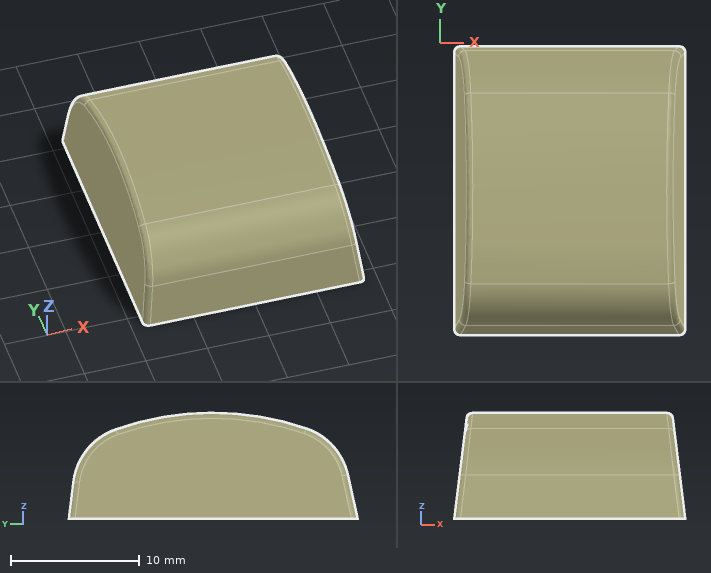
import cadquery as cq
import math

width = 18.0
length = 22.5
height = 8.25

end_draft = 7.0
front_draft = 12.5
back_draft = 7.0

crown_radius = 22.5
crown_center_y = 0.07
shoulder_radius = 5.0
edge_radius = 0.5

crown_center_z = height - crown_radius


def crown_point(base_y, draft, side):
    """Point where a wall leaning inward from base_y meets the crown circle."""
    lean_y = -side * math.sin(math.radians(draft))
    lean_z = math.cos(math.radians(draft))
    offset_y = base_y - crown_center_y
    offset_z = -crown_center_z
    along = offset_y * lean_y + offset_z * lean_z
    offset_squared = offset_y**2 + offset_z**2
    distance = -along + math.sqrt(along**2 - offset_squared + crown_radius**2)
    return (base_y + distance * lean_y, distance * lean_z)


def crowned_bar():
    """Crowned side profile along the full width, with rounded shoulders."""
    front_y = -length / 2
    back_y = length / 2
    bar = (
        cq.Workplane("YZ")
        .moveTo(front_y, 0)
        .lineTo(back_y, 0)
        .lineTo(*crown_point(back_y, back_draft, 1))
        .threePointArc((crown_center_y, height), crown_point(front_y, front_draft, -1))
        .close()
        .extrude(width / 2, both=True)
    )
    return bar.edges("|X and (not <Z)").fillet(shoulder_radius)


def end_envelope():
    """Trapezoidal prism whose sloped faces form the two ends."""
    top_half_width = width / 2 - height * math.tan(math.radians(end_draft))
    return (
        cq.Workplane("XZ")
        .polyline([
            (-width / 2, 0),
            (width / 2, 0),
            (top_half_width, height),
            (-top_half_width, height),
        ])
        .close()
        .extrude(length / 2, both=True)
    )


body = crowned_bar().intersect(end_envelope())

rim = body.faces("<X or >X").edges("not <Z")
result = rim.fillet(edge_radius)